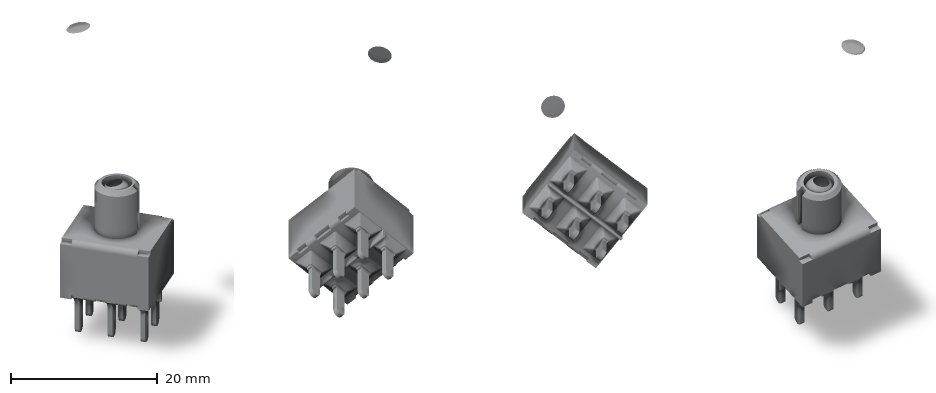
import cadquery as cq
import math


BASE_X = 12.7
BASE_Y = 11.43
BASE_Z = 8.89

COVER_WIDTH = 9.5
COVER_BEND = 0.8
SHEET = 0.55
CORNER_NOTCH_Y = 0.8
COVER_GAP = 0.6
TAB_WIDTH = 1.75
TAB_SPACING = 4.45

BUSHING_DIA = 6.2
BUSHING_HEIGHT = 7.1
BUSHING_TOP = BASE_Z + BUSHING_HEIGHT
BUSHING_CHAMFER = 0.55
KEYWAY_WIDTH = 1.05
KEYWAY_FLOOR_X = 2.35

BALL_DIA = 4.2
BALL_R = BALL_DIA / 2
BALL_DEPTH = 1.87
BALL_Z = BUSHING_TOP - BALL_DEPTH
LEVER_TILT = 12.5
BALL_MOUTH_R = 1.14
CAVITY_SHIFT = 0.2

CAP_R = 1.645
CAP_THICKNESS = 0.15
CAP_FACE_DISTANCE = 25.74

PIN_COLUMNS = 3
PIN_ROWS = 2
PIN_PITCH_X = 4.7
PIN_PITCH_Y = 4.8
PIN_X = 0.7
PIN_Y = 1.5
PIN_LENGTH = 6.65
COLLAR_Y = 2.0
COLLAR_HEIGHT = 1.5
SEAL_HEIGHT = 1.07
SEAL_MARGIN = 0.13
SEAL_CORNER_R = 0.3

RIB_THICKNESS = 0.4
RIB_HEIGHT = 1.55


def block(size_x, size_y, z_low, z_high):
    """Box centred on the Z axis between two heights."""
    return cq.Workplane("XY", origin=(0, 0, z_low)).box(
        size_x, size_y, z_high - z_low, centered=(True, True, False)
    )


def lever_frame(distance):
    """Workplane square to the lever axis, at a distance from the ball centre."""
    tilt = math.radians(LEVER_TILT)
    axis = cq.Vector(-math.sin(tilt), 0, math.cos(tilt))
    centre = cq.Vector(0, 0, BALL_Z) + axis * distance
    return cq.Workplane(cq.Plane(centre, xDir=(math.cos(tilt), 0, math.sin(tilt)), normal=axis))


def make_cover():
    """Middle of the base with the sheet cover bent over its top edges and crimped below its lower edges."""
    cover = block(COVER_WIDTH, BASE_Y, 0, BASE_Z).edges("|X and >Z").fillet(COVER_BEND)
    tabs = block(COVER_WIDTH, BASE_Y, 0, BASE_Z / 2).edges("|X and <Z").fillet(SHEET)
    tab_strips = (
        cq.Workplane("XY")
        .pushPoints([(-TAB_SPACING / 2, 0), (TAB_SPACING / 2, 0)])
        .box(TAB_WIDTH, BASE_Y, BASE_Z, centered=(True, True, False))
    )
    core = block(COVER_WIDTH, BASE_Y - 2 * SHEET, 0, COVER_GAP)
    sheet = cover.cut(block(COVER_WIDTH, BASE_Y, 0, COVER_GAP))
    return sheet.union(core).union(tabs.intersect(tab_strips))


def make_base():
    """Whole base: the covered middle and the end blocks beside it, notched at their four top corners."""
    ends = block(BASE_X, BASE_Y, 0, BASE_Z - SHEET)
    ends = ends.union(block(BASE_X, BASE_Y - 2 * CORNER_NOTCH_Y, 0, BASE_Z))
    ends = ends.cut(block(COVER_WIDTH, BASE_Y, 0, BASE_Z))
    return ends.union(make_cover())


def make_bushing():
    """Bushing whose bore ends on the upper half of the ball, with a keyway on its +X side."""
    radius = BUSHING_DIA / 2
    bushing = (
        cq.Workplane("XZ")
        .moveTo(0, BASE_Z)
        .lineTo(radius, BASE_Z)
        .lineTo(radius, BUSHING_TOP - BUSHING_CHAMFER)
        .lineTo(radius - BUSHING_CHAMFER, BUSHING_TOP)
        .lineTo(BALL_R, BUSHING_TOP)
        .lineTo(BALL_R, BALL_Z)
        .lineTo(0, BALL_Z)
        .close()
        .revolve(360, (0, 0, 0), (0, 1, 0))
    )
    keyway = block(radius, KEYWAY_WIDTH, BASE_Z, BUSHING_TOP)
    keyway = keyway.translate((KEYWAY_FLOOR_X + radius / 2, 0, 0))
    ball = cq.Workplane("XY").sphere(BALL_R).translate((0, 0, BALL_Z))
    return bushing.cut(keyway).union(ball).cut(make_ball_cavity())


def make_ball_cavity():
    """Space inside the ball that opens through a round mouth square to the lever axis."""
    mouth_distance = math.sqrt(BALL_R**2 - BALL_MOUTH_R**2)
    cavity_r = math.hypot(BALL_MOUTH_R, mouth_distance - CAVITY_SHIFT)
    return lever_frame(CAVITY_SHIFT).sphere(cavity_r)


def make_round_ended_plate(length_x, thickness_y, depth):
    """Plate that hangs from Z = 0 to a depth and ends in a full round across Y."""
    half = thickness_y / 2
    return (
        cq.Workplane("YZ", origin=(-length_x / 2, 0, 0))
        .moveTo(-half, 0)
        .lineTo(-half, half - depth)
        .threePointArc((0, -depth), (half, half - depth))
        .lineTo(half, 0)
        .close()
        .extrude(length_x)
    )


def make_terminal():
    """Flat pin with a round tip, a collar and a seal flared at 45 degrees under the base."""
    pin = make_round_ended_plate(PIN_X, PIN_Y, PIN_LENGTH)
    collar = block(PIN_X, COLLAR_Y, -COLLAR_HEIGHT, 0)
    foot_x = PIN_X + 2 * SEAL_MARGIN
    foot_y = COLLAR_Y + 2 * SEAL_MARGIN
    seal = (
        cq.Workplane("XY", origin=(0, 0, -SEAL_HEIGHT))
        .rect(foot_x, foot_y)
        .workplane(offset=SEAL_HEIGHT)
        .rect(foot_x + 2 * SEAL_HEIGHT, foot_y + 2 * SEAL_HEIGHT)
        .loft(ruled=True)
        .edges("not #Z")
        .fillet(SEAL_CORNER_R)
    )
    return pin.union(collar).union(seal)


def make_housing():
    """Base, bushing, rib and the grid of terminals as one solid."""
    rib = make_round_ended_plate(BASE_X, RIB_THICKNESS, RIB_HEIGHT)
    housing = make_base().union(make_bushing()).union(rib)
    terminal = make_terminal()
    for column in range(PIN_COLUMNS):
        for row in range(PIN_ROWS):
            x = (column - (PIN_COLUMNS - 1) / 2) * PIN_PITCH_X
            y = (row - (PIN_ROWS - 1) / 2) * PIN_PITCH_Y
            housing = housing.union(terminal.translate((x, y, 0)))
    return housing


def make_lever_cap():
    """Thin disc with a 45 degree edge, at the free end of the lever."""
    return lever_frame(CAP_FACE_DISTANCE - CAP_THICKNESS).circle(CAP_R).extrude(CAP_THICKNESS, taper=45)


housing = make_housing()
lever_cap = make_lever_cap()

result = cq.Compound.makeCompound([housing.val(), lever_cap.val()])